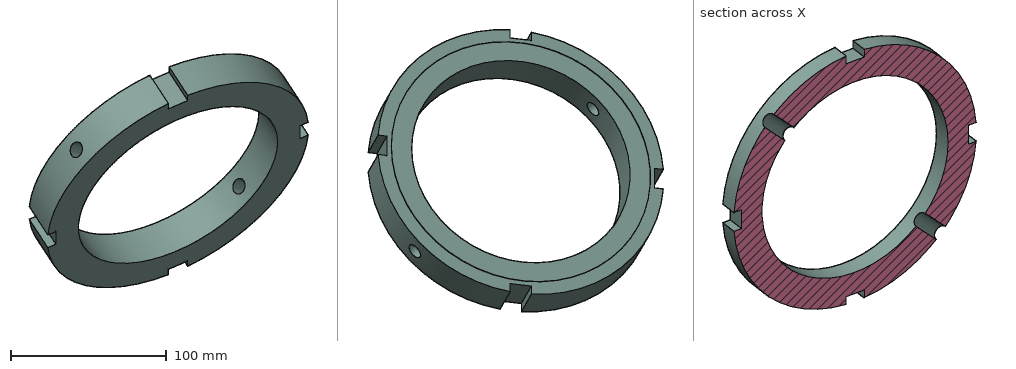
import cadquery as cq
import math

outer_size = 189.5
bore_diameter = 145.0
total_width = 26.0

face_diameter = 172.0
face_height = 0.5

slot_count = 4
slot_width = 14.0
slot_floor_radius = 88.9

hole_diameter = 10.0
hole_tilt = 45

outer_radius = math.hypot(outer_size / 2, slot_width / 2)
body_width = total_width - face_height
back_x = -total_width / 2
body_x = back_x + face_height


def cylinder_along_x(diameter, start_x, length):
    return cq.Workplane("YZ", origin=(start_x, 0, 0)).circle(diameter / 2).extrude(length)


def make_ring():
    body = cylinder_along_x(2 * outer_radius, body_x, body_width)
    contact_face = cylinder_along_x(face_diameter, back_x, total_width)
    bore = cylinder_along_x(bore_diameter, back_x, total_width)
    return body.union(contact_face).cut(bore)


def make_slot(angle):
    depth = outer_radius - slot_floor_radius
    cutter = cq.Workplane("XY").box(total_width, slot_width, depth, centered=(True, True, False))
    return cutter.translate((0, 0, slot_floor_radius)).rotate((0, 0, 0), (1, 0, 0), angle)


def make_cross_hole():
    drill = cq.Workplane("XY").circle(hole_diameter / 2).extrude(outer_radius, both=True)
    return drill.rotate((0, 0, 0), (1, 0, 0), hole_tilt)


result = make_ring()
for index in range(slot_count):
    result = result.cut(make_slot(index * 360 / slot_count))
result = result.cut(make_cross_hole())